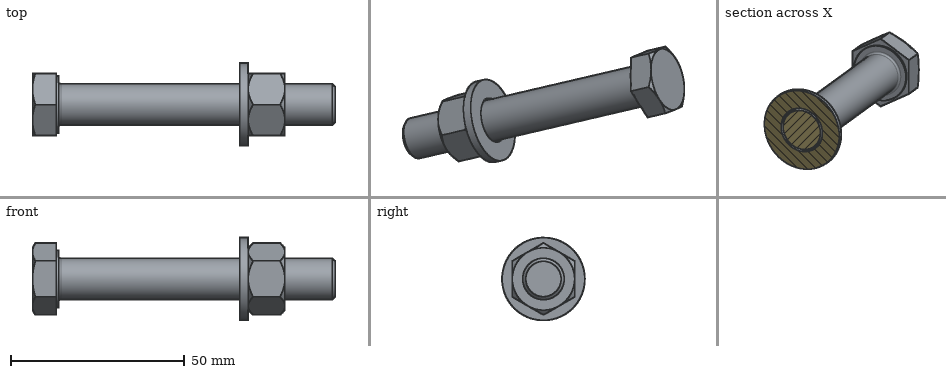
import cadquery as cq
import math

thread_diameter = 12.0
shank_length = 80.0
across_flats = 18.0

head_height = 7.5
head_chamfer_angle = 30.0
bearing_face_diameter = 16.6
bearing_face_height = 0.6
underhead_radius = 0.6
tip_chamfer_length = 1.0
tip_chamfer_depth = 0.9

washer_diameter = 24.0
washer_thickness = 2.5
washer_bore = 13.0
washer_start = 52.3
nut_height = 10.6
nut_chamfer_angle = 45.0

shank_radius = thread_diameter / 2
corner_radius = across_flats / 2 / math.cos(math.radians(30))
corner_depth = corner_radius - across_flats / 2
head_start = -head_height
head_hex_length = head_height - bearing_face_height
nut_start = washer_start + washer_thickness


def cylinder(diameter, start, length):
    """Round bar along X."""
    return cq.Workplane("YZ", origin=(start, 0, 0)).circle(diameter / 2).extrude(length)


def hexagon(start, length):
    """Hexagonal bar along X with flats facing +Y and -Y and corners on Z."""
    corner_circle = 2 * corner_radius
    return (
        cq.Workplane("YZ", origin=(start, 0, 0))
        .transformed(rotate=(0, 0, 90))
        .polygon(6, corner_circle)
        .extrude(length)
    )


def revolve_about_x(profile):
    """Turn a closed profile, drawn as X against radius, about the X axis."""
    return profile.close().revolve(360, (0, 0, 0), (1, 0, 0))


def chamfered_envelope(start, length, chamfer_angle, both_ends):
    """Turned blank, coned from the across-flats circle out to the hexagon corners."""
    end = start + length
    chamfer = corner_depth * math.tan(math.radians(chamfer_angle))
    flat_radius = across_flats / 2
    profile = (
        cq.Workplane("XY")
        .moveTo(start, 0)
        .lineTo(start, flat_radius)
        .lineTo(start + chamfer, corner_radius)
    )
    if both_ends:
        profile = profile.lineTo(end - chamfer, corner_radius).lineTo(end, flat_radius)
    else:
        profile = profile.lineTo(end, corner_radius)
    return revolve_about_x(profile.lineTo(end, 0))


def make_bolt():
    """Hex head with a round bearing face, underhead fillet and chamfered shank."""
    head = hexagon(head_start, head_hex_length).intersect(
        chamfered_envelope(head_start, head_hex_length, head_chamfer_angle, both_ends=False)
    )
    bearing_face = cylinder(bearing_face_diameter, -bearing_face_height, bearing_face_height)
    fillet_bulge = underhead_radius * (1 - math.sqrt(0.5))
    shank = revolve_about_x(
        cq.Workplane("XY")
        .moveTo(-bearing_face_height, 0)
        .lineTo(-bearing_face_height, shank_radius + underhead_radius)
        .lineTo(0, shank_radius + underhead_radius)
        .threePointArc(
            (fillet_bulge, shank_radius + fillet_bulge),
            (underhead_radius, shank_radius),
        )
        .lineTo(shank_length - tip_chamfer_length, shank_radius)
        .lineTo(shank_length, shank_radius - tip_chamfer_depth)
        .lineTo(shank_length, 0)
    )
    return head.union(bearing_face).union(shank)


def make_washer():
    """Flat washer with clearance around the shank."""
    disc = cylinder(washer_diameter, washer_start, washer_thickness)
    return disc.cut(cylinder(washer_bore, washer_start, washer_thickness))


def make_nut():
    """Hex nut chamfered at both ends, its bore fitting the shank."""
    body = hexagon(nut_start, nut_height).intersect(
        chamfered_envelope(nut_start, nut_height, nut_chamfer_angle, both_ends=True)
    )
    return body.cut(cylinder(thread_diameter, nut_start, nut_height))


bolt = make_bolt()
washer = make_washer()
nut = make_nut()

result = cq.Compound.makeCompound([bolt.val(), washer.val(), nut.val()])